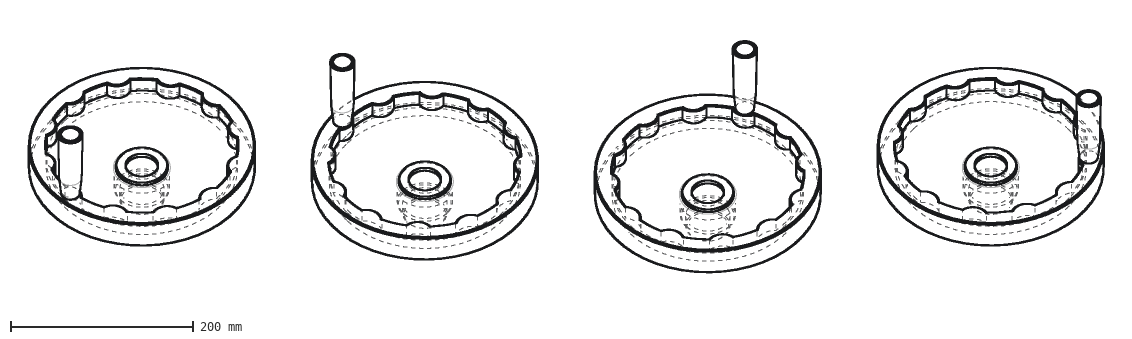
import cadquery as cq
import math


rim_radius = 124.0
rim_height = 34.5
rim_top = 83.0
rim_bottom = rim_top - rim_height
edge_break = 1.5

pocket_radius = 105.0
pocket_edge_chamfer = 1.2
grip_count = 12
grip_radius = 17.4
grip_reach = 98.0
grip_center = grip_reach + grip_radius

web_angle = math.radians(12.5)
web_slope = math.tan(web_angle)
web_floor_start_radius = 31.2
web_floor_start_z = 49.0
web_height = 4.5

hub_radius = 30.3
hub_bottom = 16.5
hub_blend_radius = 13.0
spigot_radius = 24.3

boss_top = 53.0
boss_top_radius = 27.8
boss_base_radius = 28.8
boss_base_z = 50.0
boss_fillet_radius = 2.5
boss_recess_radius = 17.9
boss_recess_depth = 4.5

handle_y = -108.9
handle_top = 173.0
handle_waist_z = 107.1
handle_root_radius = 10.2
handle_waist_radius = 12.5
handle_top_radius = 13.5
handle_edge_break = 1.0
cap_radius = 10.5
cap_groove_width = 0.5
cap_groove_depth = 0.5


def web_floor_z(radius):
    """Height of the dish floor at a distance from the wheel axis."""
    return web_floor_start_z + web_slope * (radius - web_floor_start_radius)


def web_underside_z(radius):
    """Height of the underside of the web at a distance from the wheel axis."""
    return web_floor_z(radius) - web_height


def add_hub_blend(profile):
    """Draw the hub wall up to the web, ending with an arc tangent to both."""
    center_radius = hub_radius + hub_blend_radius
    end_radius = center_radius - hub_blend_radius * math.sin(web_angle)
    center_z = web_underside_z(end_radius) - hub_blend_radius * math.cos(web_angle)
    middle_angle = (math.pi + math.pi / 2 + web_angle) / 2
    middle = (
        center_radius + hub_blend_radius * math.cos(middle_angle),
        center_z + hub_blend_radius * math.sin(middle_angle),
    )
    end = (end_radius, web_underside_z(end_radius))
    return profile.lineTo(hub_radius, center_z).threePointArc(middle, end)


def make_blank():
    """Hub, web underside and rim turned as one body, still without the pocket above the web."""
    profile = (
        cq.Workplane("XZ")
        .moveTo(0, 0)
        .lineTo(spigot_radius - edge_break, 0)
        .lineTo(spigot_radius, edge_break)
        .lineTo(spigot_radius, hub_bottom)
        .lineTo(hub_radius - edge_break, hub_bottom)
        .lineTo(hub_radius, hub_bottom + edge_break)
    )
    profile = (
        add_hub_blend(profile)
        .lineTo(pocket_radius, web_underside_z(pocket_radius))
        .lineTo(pocket_radius, rim_bottom)
        .lineTo(rim_radius - edge_break, rim_bottom)
        .lineTo(rim_radius, rim_bottom + edge_break)
        .lineTo(rim_radius, rim_top - edge_break)
        .lineTo(rim_radius - edge_break, rim_top)
        .lineTo(0, rim_top)
        .close()
    )
    return profile.revolve(360, (0, 0, 0), (0, 1, 0))


def make_pocket():
    """Space above the web: the dish and the raised ring below, the grips standing into the side.

    The mouth of the dish and the tops of the grips share one chamfer.
    """
    boss_recess_z = boss_top - boss_recess_depth
    dish = (
        cq.Workplane("XZ")
        .moveTo(0, boss_recess_z)
        .lineTo(boss_recess_radius, boss_recess_z)
        .lineTo(boss_recess_radius, boss_top)
        .lineTo(boss_top_radius, boss_top)
        .lineTo(boss_base_radius, boss_base_z)
        .radiusArc((web_floor_start_radius, web_floor_start_z), -boss_fillet_radius)
        .lineTo(pocket_radius, web_floor_z(pocket_radius))
        .lineTo(pocket_radius, rim_top - pocket_edge_chamfer)
        .lineTo(pocket_radius + pocket_edge_chamfer, rim_top)
        .lineTo(0, rim_top)
        .close()
        .revolve(360, (0, 0, 0), (0, 1, 0))
    )
    grips = (
        cq.Workplane("XY")
        .polarArray(grip_center, 0, 360, grip_count)
        .circle(grip_radius)
        .extrude(rim_top)
        .faces(">Z")
        .chamfer(pocket_edge_chamfer)
    )
    return dish.cut(grips)


def make_handle():
    """Tapered grip with a narrow ring groove around its end cap."""
    groove_bottom = handle_top - cap_groove_depth
    return (
        cq.Workplane("XZ")
        .moveTo(0, rim_top - edge_break)
        .lineTo(handle_root_radius, rim_top - edge_break)
        .lineTo(handle_root_radius, rim_top)
        .lineTo(handle_waist_radius, handle_waist_z)
        .lineTo(handle_top_radius, handle_top - handle_edge_break)
        .lineTo(handle_top_radius - handle_edge_break, handle_top)
        .lineTo(cap_radius + cap_groove_width, handle_top)
        .lineTo(cap_radius + cap_groove_width, groove_bottom)
        .lineTo(cap_radius, groove_bottom)
        .lineTo(cap_radius, handle_top)
        .lineTo(0, handle_top)
        .close()
        .revolve(360, (0, 0, 0), (0, 1, 0))
        .translate((0, handle_y, 0))
    )


result = make_blank().cut(make_pocket()).union(make_handle())